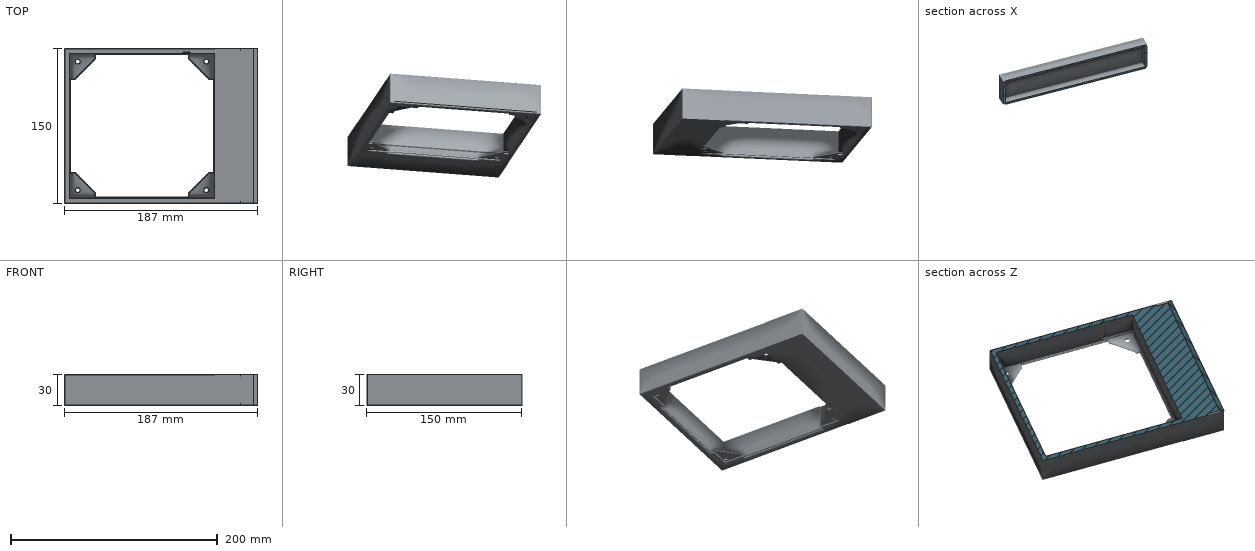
import cadquery as cq

length = 187.0
width = 150.0
height = 30.0
lid_thickness = 4.0
edge_chamfer = 0.5

bay_size = 140.0
half_bay = bay_size / 2
bay_start = (width - bay_size) / 2
bay_center = bay_start + half_bay
bay_end = bay_start + bay_size
floor_thickness = 3.0

lip = 1.0
ear_leg = 25.0
ear_step = 5.0
fan_hole_diameter = 4.5
fan_hole_pitch = 124.5

filter_width = 141.0
filter_bottom = 1.2
filter_top = 2.2
filter_end = bay_center + filter_width / 2

groove_depth = 1.0
notch_start = 114.5
notch_width = 7.0
notch_end = notch_start + notch_width
notch_flare = 0.5
channel_bottom = 4.0
channel_top = 10.0

box_end = length - lid_thickness
box_wall = 2.5
box_front_wall = 4.0

screw_inset = 1.0
screw_hole_diameter = 1.5
screw_hole_depth = 12.5


def block(x_start, x_end, y_width, z_start, z_end):
    """Block between the given limits, centred on Y = 0."""
    size_x = x_end - x_start
    size_z = z_end - z_start
    solid = cq.Workplane("XY").box(size_x, y_width, size_z, centered=(False, True, False))
    return solid.translate((x_start, 0, z_start))


def prism(outline, z_start, z_end):
    """Upright prism on a closed outline, given relative to the bay centre."""
    base = cq.Workplane("XY", origin=(bay_center, 0, z_start))
    return base.polyline(outline).close().extrude(z_end - z_start)


def flare(outline, z_wide, rise, size):
    """45 degree chamfer cutter, widest at z_wide and narrowing to the outline over the signed rise."""
    base = cq.Workplane("XY", origin=(bay_center, 0, z_wide))
    return base.polyline(outline).close().offset2D(size, "intersection").extrude(rise, taper=45)


def four_corners(corner):
    """Closed outline from the points of its +X +Y corner, mirrored about both axes."""
    back = corner[::-1]
    outline = list(corner)
    outline += [(-x, y) for x, y in back]
    outline += [(-x, -y) for x, y in corner]
    outline += [(x, -y) for x, y in back]
    return outline


def outer_block():
    """Frame with chamfered outer edges, joined to the square-edged box."""
    frame = block(0, bay_end, width, 0, height)
    frame = frame.faces("<X or >Z or <Z").edges("not >X").chamfer(edge_chamfer)
    return frame.union(block(bay_end, box_end, width, 0, height))


def fan_bay():
    return block(bay_start, bay_end, bay_size, floor_thickness, height)


def upper_opening():
    """Air opening above the filter, leaving a triangular mounting ear in each corner."""
    edge = half_bay - lip
    leg = half_bay - ear_leg
    step = half_bay - ear_step
    outline = four_corners([(edge, leg), (step, leg), (leg, step), (leg, edge)])
    opening = prism(outline, filter_top, floor_thickness)
    return opening.union(flare(outline, floor_thickness, -edge_chamfer, edge_chamfer))


def lower_opening():
    """Air opening below the filter, leaving an L-shaped filter rail in each corner."""
    edge = half_bay - lip
    leg = half_bay - ear_leg
    rail = half_bay - ear_step
    outline = four_corners([(edge, leg), (rail, leg), (rail, rail), (leg, rail), (leg, edge)])
    opening = prism(outline, 0, filter_bottom)
    return opening.union(flare(outline, 0, edge_chamfer, edge_chamfer))


def fan_holes():
    corners = cq.Workplane("XY", origin=(bay_center, 0, 0)).rect(
        fan_hole_pitch, fan_hole_pitch, forConstruction=True
    )
    return corners.vertices().circle(fan_hole_diameter / 2).extrude(floor_thickness)


def filter_slot():
    return block(0, filter_end, filter_width, filter_bottom, filter_top)


def cable_notch():
    """Upright groove in the +Y bay wall, flared at the top."""
    left = notch_start - bay_center
    right = notch_end - bay_center
    back = half_bay + groove_depth
    outline = [
        (left, half_bay),
        (left + groove_depth, back),
        (right - groove_depth, back),
        (right, half_bay),
    ]
    groove = prism(outline, channel_bottom + groove_depth, height)
    return groove.union(flare(outline, height, -notch_flare, notch_flare))


def cable_channel():
    """Groove low in the walls, from the notch around the +X +Y corner and along the +X wall."""
    size_x = bay_end - notch_start
    size_y = bay_size + groove_depth
    center_x = (notch_start + bay_end) / 2 + groove_depth
    center_y = groove_depth / 2

    def layer(z_start, rise, taper):
        base = cq.Workplane("XY", origin=(center_x, center_y, z_start))
        return base.rect(size_x, size_y).extrude(rise, taper=taper)

    back_bottom = channel_bottom + groove_depth
    back_top = channel_top - groove_depth
    channel = layer(back_bottom, back_top - back_bottom, 0)
    channel = channel.union(layer(back_bottom, -groove_depth, 45))
    return channel.union(layer(back_top, groove_depth, 45))


def box_cavity():
    cavity_start = bay_end + box_front_wall
    return block(cavity_start, box_end, width - 2 * box_wall, box_wall, height - box_wall)


def screw_holes():
    """Blind holes running from the lid face into the four corners of the box."""
    corners = cq.Workplane("YZ", origin=(box_end, 0, height / 2)).rect(
        width - 2 * screw_inset, height - 2 * screw_inset, forConstruction=True
    )
    return corners.vertices().circle(screw_hole_diameter / 2).extrude(-screw_hole_depth)


def make_housing():
    housing = outer_block().cut(fan_bay())
    housing = housing.cut(upper_opening()).cut(lower_opening())
    housing = housing.cut(filter_slot()).cut(fan_holes())
    housing = housing.cut(cable_channel()).cut(cable_notch())
    return housing.cut(box_cavity()).cut(screw_holes())


def make_lid():
    """Flat plate closing the +X end of the box."""
    return block(box_end, length, width, 0, height)


housing = make_housing()
lid = make_lid()
result = cq.Compound.makeCompound([housing.solids().val(), lid.solids().val()])